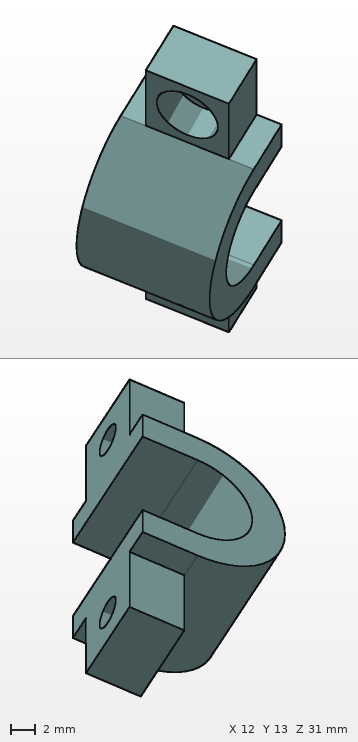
import cadquery as cq

saddle_width = 12.0
inner_radius = 5.0
wall = 3.0
outer_radius = inner_radius + wall
leg_depth = 5.0

tab_width = 7.5
tab_length = 7.5
tab_end = outer_radius + tab_length

hole_diameter = 2.8
counterbore_diameter = 5.5
counterbore_depth = 3.0
hole_height = outer_radius + tab_length / 2


def u_prism(radius, width):
    """U-shaped solid: a half disc towards -Y continued by a straight block to the mounting face."""
    return (
        cq.Workplane("YZ")
        .moveTo(leg_depth, radius)
        .lineTo(0, radius)
        .threePointArc((-radius, 0), (0, -radius))
        .lineTo(leg_depth, -radius)
        .close()
        .extrude(width / 2, both=True)
    )


def tab_bar():
    """Bar spanning both tabs; its middle is later removed by the bore."""
    return cq.Workplane("XY").box(tab_width, leg_depth, 2 * tab_end, centered=(True, False, True))


def screw_hole(height):
    """Through hole along Y with a counterbore opening on the -Y face of the tab."""
    front_face = cq.Workplane("XZ").center(0, height)
    through = front_face.circle(hole_diameter / 2).extrude(-leg_depth)
    counterbore = front_face.circle(counterbore_diameter / 2).extrude(-counterbore_depth)
    return through.union(counterbore)


result = u_prism(outer_radius, saddle_width).union(tab_bar())
result = result.cut(u_prism(inner_radius, saddle_width))
for side in (1, -1):
    result = result.cut(screw_hole(side * hole_height))